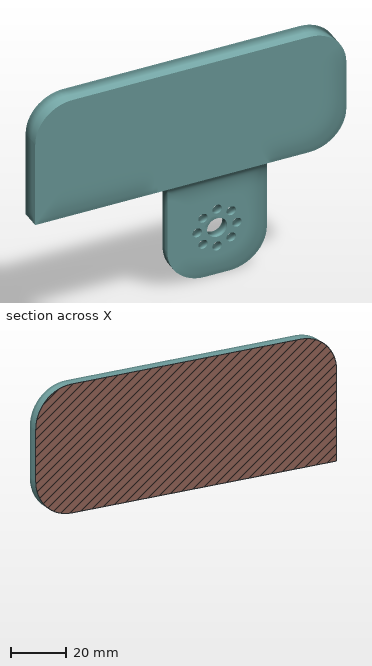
import cadquery as cq

plate_thickness = 8.0
plate_length = 125.0
plate_height = 50.0

tab_thickness = 4.0
tab_width = 40.0
tab_drop = 45.0
tab_inset = 30.0
corner_radius = 15.0

hub_hole_diameter = 8.0
bolt_hole_diameter = 3.75
bolt_circle_radius = 8.0
bolt_count = 8
hub_height = 20.0

plate_bottom = tab_drop - hub_height
plate_top = plate_bottom + plate_height
plate_y_max = tab_width / 2 + tab_inset
plate_y_min = plate_y_max - plate_length


def slab(y_min, y_max, z_min, z_max, thickness):
    """Rectangular slab with its -X face on the YZ plane."""
    return cq.Workplane("XY").box(
        thickness, y_max - y_min, z_max - z_min, centered=False
    ).translate((0, y_min, z_min))


def make_plate():
    """Plate with three rounded corners; the lower -Y corner stays square."""
    plate = slab(plate_y_min, plate_y_max, plate_bottom, plate_top, plate_thickness)
    plate = plate.edges("|X and >Z").fillet(corner_radius)
    return plate.edges("|X and <Z").edges(">Y").fillet(corner_radius)


def make_tab():
    """Tab with both lower corners rounded."""
    tab = slab(-tab_width / 2, tab_width / 2, -hub_height, plate_bottom, tab_thickness)
    return tab.edges("|X and <Z").fillet(corner_radius)


def make_hole_tools():
    """Hub hole and the ring of bolt holes around it, through the tab."""
    hub = cq.Workplane("YZ").circle(hub_hole_diameter / 2).extrude(tab_thickness)
    bolts = (
        cq.Workplane("YZ")
        .polarArray(bolt_circle_radius, 0, 360, bolt_count)
        .circle(bolt_hole_diameter / 2)
        .extrude(tab_thickness)
    )
    return hub.union(bolts)


result = make_plate().union(make_tab()).cut(make_hole_tools())